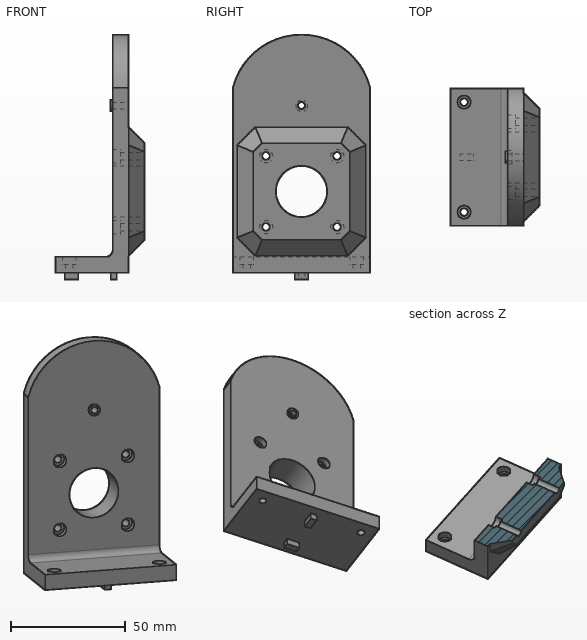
import cadquery as cq
import math

foot_length = 32.0
width = 60.0
wall = 7.0
plate_front = foot_length - wall
inner_fillet = 3.0

head_radius = 31.0
head_centre_z = 73.0
head_top = head_centre_z + head_radius
shoulder_z = head_centre_z + math.sqrt(head_radius**2 - (width / 2) ** 2)

motor_centre_z = 35.5
boss_height = 7.0
boss_tip_size = 42.25
boss_tip_corner = 3.85
boss_base_size = boss_tip_size + 2 * boss_height
boss_base_corner = boss_tip_corner + boss_height * (2 - math.sqrt(2))
boss_tip_x = foot_length + boss_height

shaft_hole_diameter = 22.25
motor_screw_spacing = 31.0

screw_diameter = 3.25
screw_head_diameter = 5.75
screw_head_depth = 3.25
foot_screw_x = 6.0
foot_screw_spacing = 48.0

ring_diameter = 5.0
ring_height = 1.0
pivot_hole_diameter = 3.0

key_length = 6.0
key_width = 2.8
key_height = 3.0
long_key_x = 7.1
cross_key_x = 25.5


def x_cylinder(diameter, y, z, start_x, end_x):
    """Cylinder along X between two X positions."""
    axis_start = cq.Vector(start_x, y, z)
    return cq.Workplane(
        cq.Solid.makeCylinder(diameter / 2, end_x - start_x, axis_start, cq.Vector(1, 0, 0))
    )


def make_bracket():
    """Foot and round-headed plate with a filleted inner corner."""
    foot = cq.Workplane("XY").box(foot_length, width, wall, centered=(False, True, False))
    plate = (
        cq.Workplane("YZ", origin=(plate_front, 0, 0))
        .moveTo(-width / 2, 0)
        .lineTo(width / 2, 0)
        .lineTo(width / 2, shoulder_z)
        .threePointArc((0, head_top), (-width / 2, shoulder_z))
        .close()
        .extrude(wall)
    )
    inner_corner = cq.selectors.NearestToPointSelector((plate_front, 0, wall))
    return foot.union(plate).edges(inner_corner).fillet(inner_fillet)


def cut_corner_square(size, corner):
    """Square outline with its four corners cut off."""
    return cq.Sketch().rect(size, size).vertices().chamfer(corner)


def make_motor_boss():
    """Square boss with cut corners, all eight sides sloping out from its tip to the plate."""
    tip_offset = cq.Location(cq.Vector(0, 0, boss_height))
    return (
        cq.Workplane("YZ", origin=(foot_length, 0, motor_centre_z))
        .placeSketch(
            cut_corner_square(boss_base_size, boss_base_corner),
            cut_corner_square(boss_tip_size, boss_tip_corner).moved(tip_offset),
        )
        .loft()
    )


def make_key(centre_x, size_x, size_y):
    """Rectangular key hanging from the underside of the foot."""
    return (
        cq.Workplane("XY", origin=(centre_x, 0, -key_height))
        .rect(size_x, size_y)
        .extrude(key_height)
    )


def cut_motor_holes(body):
    """Shaft opening and four counterbored screw holes through plate and boss."""
    body = body.cut(x_cylinder(shaft_hole_diameter, 0, motor_centre_z, plate_front, boss_tip_x))
    head_end_x = plate_front + screw_head_depth
    for side_y in (-1, 1):
        for side_z in (-1, 1):
            y = side_y * motor_screw_spacing / 2
            z = motor_centre_z + side_z * motor_screw_spacing / 2
            body = body.cut(x_cylinder(screw_diameter, y, z, plate_front, boss_tip_x))
            body = body.cut(x_cylinder(screw_head_diameter, y, z, plate_front, head_end_x))
    return body


def cut_foot_holes(body):
    """Two screw holes through the foot, counterbored from above."""
    return (
        body.copyWorkplane(cq.Workplane("XY", origin=(foot_screw_x, 0, wall)))
        .rarray(1, foot_screw_spacing, 1, 2)
        .cboreHole(screw_diameter, screw_head_diameter, screw_head_depth, wall)
    )


ring_face_x = plate_front - ring_height

result = make_bracket().union(make_motor_boss())
result = result.union(make_key(long_key_x, key_length, key_width))
result = result.union(make_key(cross_key_x, key_width, key_length))
result = result.union(x_cylinder(ring_diameter, 0, head_centre_z, ring_face_x, plate_front))
result = result.cut(x_cylinder(pivot_hole_diameter, 0, head_centre_z, ring_face_x, foot_length))
result = cut_motor_holes(result)
result = cut_foot_holes(result)